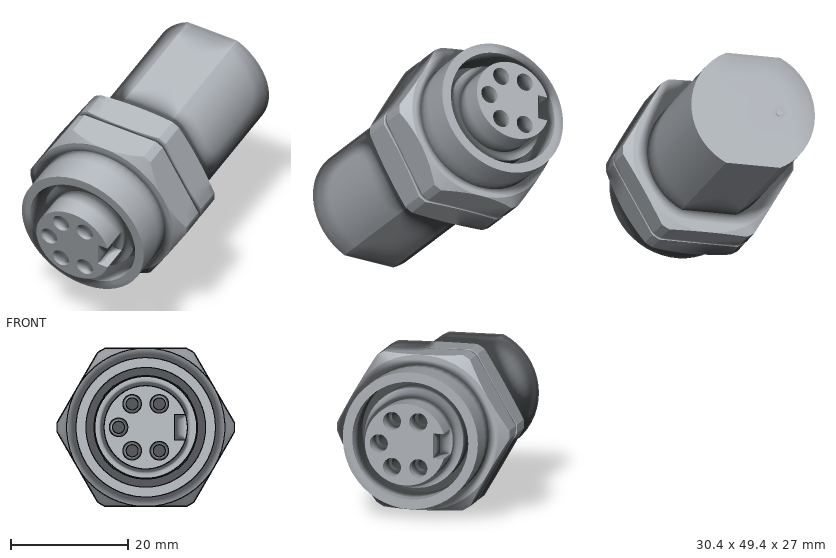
import cadquery as cq
import math


COLLAR_FRONT = 3.5
FRONT_HEX_START = 10.95
FRONT_HEX_END = 16.8
REAR_HEX_START = 17.4
REAR_HEX_END = 22.9
BARREL_END = 49.25
OVERALL_LENGTH = 49.4

HEX_ACROSS_FLATS = 27.0
HEX_ACROSS_CORNERS = 30.4
FRONT_HEX_CHAMFER = 1.55
REAR_HEX_CHAMFER = 0.4

COLLAR_RADIUS = 11.9
BORE_RADIUS = 10.25
BORE_DEPTH = 6.9

SPACER_RADIUS = 12.7
BARREL_RADIUS = 11.0
BARREL_FLAT_HEIGHT = 19.8
PIP_RADIUS = 0.6

NOSE_RADIUS = 7.1
FLANGE_DEPTH = 2.4
FLANGE_RADIUS = 8.7
BODY_RADIUS = 8.85
LUG_REACH = 8.9
LUG_WIDTH = 2.4
LUG_BAR_ANGLES = (45, 135)
KEYWAY_BOTTOM = 4.9
KEYWAY_WIDTH = 4.35
KEYWAY_LENGTH = 4.95

SOCKET_OFFSET_X = 2.3
SOCKET_OFFSET_Z = 4.0
INDEX_SOCKET_X = -4.65
SOCKET_CENTERS = [(INDEX_SOCKET_X, 0)] + [
    (side_x * SOCKET_OFFSET_X, side_z * SOCKET_OFFSET_Z) for side_x in (-1, 1) for side_z in (-1, 1)
]
SOCKET_RADIUS = 1.6
SOCKET_DEPTH = 3.95
CONTACT_BORE_RADIUS = 1.05
CONTACT_BORE_DEPTH = 7.9

BORE_FLOOR = COLLAR_FRONT + BORE_DEPTH
FLANGE_FRONT = COLLAR_FRONT + FLANGE_DEPTH
FLAT_RADIUS = HEX_ACROSS_FLATS / 2
CORNER_RADIUS = HEX_ACROSS_CORNERS / 2


def plane_at(y):
    """Plane across the axis at y, with local x along X, local y along Z and its normal along -Y."""
    return cq.Workplane("XZ", origin=(0, y, 0))


def disc(radius, start, end):
    """Cylinder on the connector axis from y = start to y = end."""
    return plane_at(start).circle(radius).extrude(start - end)


def turned_hexagon(start, end, front_chamfer, rear_chamfer):
    """Hexagon with flats at top and bottom, its corners turned to a cylinder and chamfered."""
    sharp_diameter = HEX_ACROSS_FLATS / math.cos(math.pi / 6)
    prism = plane_at(start).polygon(6, sharp_diameter).extrude(start - end)
    profile = cq.Workplane("XY").moveTo(0, start).lineTo(FLAT_RADIUS, start)
    profile = profile.lineTo(CORNER_RADIUS, start + front_chamfer)
    if rear_chamfer > 0:
        profile = profile.lineTo(CORNER_RADIUS, end - rear_chamfer).lineTo(FLAT_RADIUS, end)
    else:
        profile = profile.lineTo(CORNER_RADIUS, end)
    blank = profile.lineTo(0, end).close().revolve(360, (0, 0, 0), (0, 1, 0))
    return prism.intersect(blank)


def keyed_body():
    """Insert body with four flat lugs on its diagonals; it fills the rear bore of the front housing."""
    body = disc(BODY_RADIUS, BORE_FLOOR, FRONT_HEX_END)
    for angle in LUG_BAR_ANGLES:
        bar = plane_at(BORE_FLOOR).transformed(rotate=(0, 0, angle)).rect(2 * LUG_REACH, LUG_WIDTH)
        body = body.union(bar.extrude(BORE_FLOOR - FRONT_HEX_END))
    return body


def make_front_housing():
    """Collar and front hexagon, bored for the mating plug and for the insert."""
    housing = turned_hexagon(FRONT_HEX_START, FRONT_HEX_END, FRONT_HEX_CHAMFER, 0)
    housing = housing.union(disc(COLLAR_RADIUS, COLLAR_FRONT, FRONT_HEX_START))
    housing = housing.cut(disc(BORE_RADIUS, COLLAR_FRONT, BORE_FLOOR))
    return housing.cut(keyed_body())


def make_rear_housing():
    """Rear hexagon with its spacer ring and the cable barrel with two flats and an end pip."""
    hexagon = turned_hexagon(REAR_HEX_START, REAR_HEX_END, REAR_HEX_CHAMFER, REAR_HEX_CHAMFER)
    spacer = disc(SPACER_RADIUS, FRONT_HEX_END, REAR_HEX_START)
    flats = plane_at(REAR_HEX_END).rect(2 * BARREL_RADIUS, BARREL_FLAT_HEIGHT)
    flats = flats.extrude(REAR_HEX_END - BARREL_END)
    barrel = disc(BARREL_RADIUS, REAR_HEX_END, BARREL_END).intersect(flats)
    pip = plane_at(BARREL_END).center(INDEX_SOCKET_X, 0).circle(PIP_RADIUS)
    pip = pip.extrude(BARREL_END - OVERALL_LENGTH)
    return hexagon.union(spacer).union(barrel).union(pip)


def make_insert():
    """Contact carrier with a keyed nose, a flange and five stepped sockets."""
    insert = disc(NOSE_RADIUS, 0, FLANGE_FRONT)
    keyway_depth = NOSE_RADIUS - KEYWAY_BOTTOM
    keyway = (
        plane_at(0)
        .center(KEYWAY_BOTTOM + keyway_depth / 2, 0)
        .rect(keyway_depth, KEYWAY_WIDTH)
        .extrude(-KEYWAY_LENGTH)
    )
    insert = insert.cut(keyway)
    insert = insert.union(disc(FLANGE_RADIUS, FLANGE_FRONT, BORE_FLOOR))
    insert = insert.union(keyed_body())
    centers = plane_at(0).pushPoints(SOCKET_CENTERS)
    sockets = centers.circle(SOCKET_RADIUS).extrude(-SOCKET_DEPTH)
    centers = plane_at(0).pushPoints(SOCKET_CENTERS)
    contact_bores = centers.circle(CONTACT_BORE_RADIUS).extrude(-CONTACT_BORE_DEPTH)
    return insert.cut(sockets).cut(contact_bores)


front_housing = make_front_housing()
rear_housing = make_rear_housing()
insert = make_insert()

result = cq.Compound.makeCompound([front_housing.val(), rear_housing.val(), insert.val()])